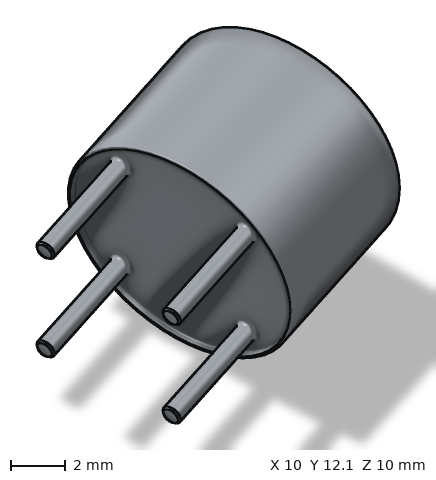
import cadquery as cq
import math

can_diameter = 10.0
can_length = 7.41
dome_fillet = 0.7
rim_fillet = 0.05
wall_thickness = 0.11
recess_depth = 0.3
floor_fillet = 0.11

overall_length = 12.11
pin_diameter = 0.8
pin_spacing = 5.6
pin_tip_chamfer = 0.07
flare_radius = 0.2
pin_embedment = 0.24

can_radius = can_diameter / 2
recess_radius = can_radius - wall_thickness
pin_radius = pin_diameter / 2

dome_end_y = overall_length / 2
pin_tip_y = -overall_length / 2
rim_y = dome_end_y - can_length
floor_y = rim_y + recess_depth


def make_can():
    """Solid can with a rounded closed end, a rounded rim and a round-cornered recess."""
    can = (
        cq.Workplane("XZ", origin=(0, dome_end_y, 0))
        .circle(can_radius)
        .extrude(can_length)
    )
    can = can.faces(">Y").edges().fillet(dome_fillet)
    can = can.faces("<Y").edges().fillet(rim_fillet)
    recess = (
        cq.Workplane("XZ", origin=(0, floor_y, 0))
        .circle(recess_radius)
        .extrude(recess_depth)
        .faces(">Y")
        .edges()
        .fillet(floor_fillet)
    )
    return can.cut(recess)


def make_pin():
    """Pin on the Y axis with a chamfered tip and a concave flare at the recess floor."""
    embedded_end_y = floor_y + pin_embedment
    flare_outer = pin_radius + flare_radius
    flare_middle = flare_radius * (1 - math.cos(math.radians(45)))
    profile = (
        cq.Workplane("XY")
        .moveTo(0, embedded_end_y)
        .lineTo(0, pin_tip_y)
        .lineTo(pin_radius - pin_tip_chamfer, pin_tip_y)
        .lineTo(pin_radius, pin_tip_y + pin_tip_chamfer)
        .lineTo(pin_radius, floor_y - flare_radius)
        .threePointArc(
            (pin_radius + flare_middle, floor_y - flare_middle),
            (flare_outer, floor_y),
        )
        .lineTo(flare_outer, embedded_end_y)
        .close()
    )
    return profile.revolve(360, (0, 0, 0), (0, 1, 0))


result = make_can()
pin = make_pin()
pin_offset = pin_spacing / 2
for x in (-pin_offset, pin_offset):
    for z in (-pin_offset, pin_offset):
        result = result.union(pin.translate((x, 0, z)))